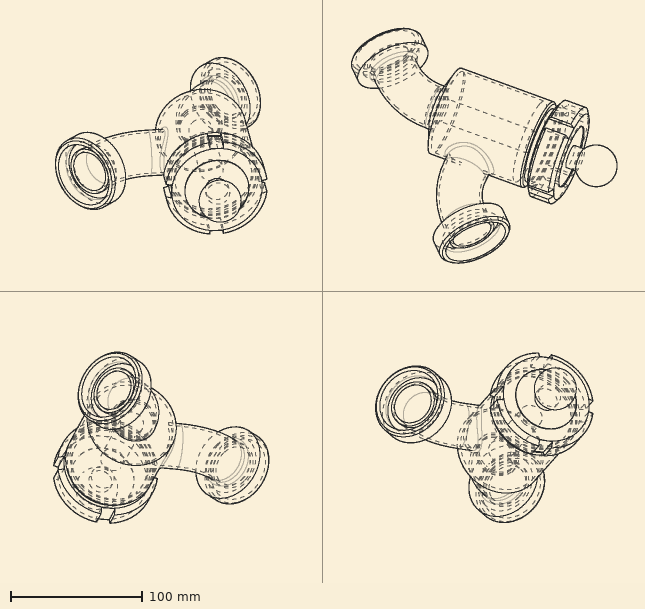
import cadquery as cq
import math

overall_x = 155.1
full_turn = 360

port_end = 91.5
flange_d = 58.0
flange_face_d = 54.7
flange_chamfer = 2.0
flange_rim_end = 14.8
flange_back = 16.5
neck_fillet = 2.2

seat_mouth_d = 48.8
seat_d = 45.7
seat_depth = 7.3
groove_depth = 11.0
lip_d = 36.0

pipe_d = 35.0
bore_d = 31.0
wall = (pipe_d - bore_d) / 2
bend_start = 68.6
bend_radius = 53.5
bend_degrees = 45
bend_angle = math.radians(bend_degrees)
inlet_stub = 9.3

body_d = 69.5
cone_length = 6.5
body_length = 77.8
body_chamfer = 1.5
cavity_length = 69.5
branch_fillet = 2.7
branch_inner_fillet = 4.4

collar_d = 59.3
shoulder_d = 64.8
shoulder_start = 81.5
nut_d = 78.1
nut_start = 82.3
nut_end = 104.0
nut_chamfer_length = 2.7
nut_chamfer_depth = 4.4
notch_width = 10.5
notch_count = 4
cap_d = 49.0
cap_recess = 1.0

shaft_d = 18.0
ball_d = 32.0
plug_top = -1.3
plug_bottom = -11.0

diagonal = math.sqrt(0.5)
bend_end_x = bend_radius * (1 - math.cos(bend_angle))
bend_end_y = bend_start - bend_radius * math.sin(bend_angle)
body_x = bend_end_x + inlet_stub * diagonal
body_y = bend_end_y - inlet_stub * diagonal
branch_straight = 2 * bend_end_y * diagonal
ball_x = overall_x - flange_d / 2 - ball_d / 2
ball_position = (ball_x - body_x) / diagonal


def main_plane(position):
    """Plane across the main axis at a position along it."""
    along = position * diagonal
    return cq.Plane(origin=(body_x + along, body_y - along, 0), xDir=(0, 0, 1), normal=(1, -1, 0))


def main_cylinder(diameter, start, end):
    return cq.Workplane(main_plane(start)).circle(diameter / 2).extrude(end - start)


def revolve_main(points):
    """Revolve an outline of (radius, position) points about the main axis."""
    half_section = cq.Plane(origin=(body_x, body_y, 0), xDir=(0, 0, 1), normal=(1, 1, 0))
    outline = cq.Workplane(half_section).polyline(points).close()
    return outline.revolve(full_turn, (0, 0, 0), (0, 1, 0))


def mirrored(shape):
    """The same shape on the -Y port."""
    return shape.mirror("XZ")


def bent_pipe(diameter, straight):
    """Solid rod from the +Y port's lip through the bend and on by a straight length."""
    start = port_end - seat_depth
    half = bend_angle / 2
    bend_middle = (bend_radius * (1 - math.cos(half)), bend_start - bend_radius * math.sin(half))
    path = (
        cq.Workplane("XY")
        .moveTo(0, start)
        .lineTo(0, bend_start)
        .threePointArc(bend_middle, (bend_end_x, bend_end_y))
        .lineTo(bend_end_x + straight * diagonal, bend_end_y - straight * diagonal)
    )
    return cq.Workplane("XZ", origin=(0, start, 0)).circle(diameter / 2).sweep(path)


def flange():
    """Port flange with a chamfered face, a tapered back and a filleted neck."""
    back = port_end - flange_back
    profile = (
        cq.Workplane("XY")
        .moveTo(0, back - neck_fillet)
        .lineTo(pipe_d / 2, back - neck_fillet)
        .radiusArc((pipe_d / 2 + neck_fillet, back), neck_fillet)
        .lineTo(flange_d / 2, port_end - flange_rim_end)
        .lineTo(flange_d / 2, port_end - flange_chamfer)
        .lineTo(flange_face_d / 2, port_end)
        .lineTo(0, port_end)
        .close()
    )
    return profile.revolve(full_turn, (0, 0, 0), (0, 1, 0))


def flange_recess():
    """Tapered seat and ring groove of a port flange, leaving the lip around the bore."""
    seat = port_end - seat_depth
    groove = port_end - groove_depth
    profile = cq.Workplane("XY").polyline([
        (0, port_end),
        (seat_mouth_d / 2, port_end),
        (seat_d / 2, seat),
        (seat_d / 2, groove),
        (lip_d / 2, groove),
        (lip_d / 2, seat),
        (0, seat),
    ]).close()
    return profile.revolve(full_turn, (0, 0, 0), (0, 1, 0))


def body_with_branch():
    """Body with a coned end, and the branch pipe blended into its side."""
    radius = body_d / 2
    body = revolve_main([
        (0, -cone_length),
        (pipe_d / 2, -cone_length),
        (radius, 0),
        (radius, body_length - body_chamfer),
        (radius - body_chamfer, body_length),
        (0, body_length),
    ])
    joined = body.union(mirrored(bent_pipe(pipe_d, branch_straight)))
    return joined.edges("%BSPLINE").fillet(branch_fillet)


def cavity_with_branch():
    """Space inside the body and branch, with a rounded mouth between the two."""
    radius = body_d / 2 - wall
    cavity = revolve_main([
        (0, wall - cone_length),
        (bore_d / 2, wall - cone_length),
        (radius, wall),
        (radius, cavity_length),
        (0, cavity_length),
    ])
    joined = cavity.union(mirrored(bent_pipe(bore_d, branch_straight)))
    return joined.edges("%BSPLINE").fillet(branch_inner_fillet)


def nut():
    """Union nut, chamfered at both ends, with spanner notches and a recessed cap."""
    radius = nut_d / 2
    face_radius = radius - nut_chamfer_depth
    ring = revolve_main([
        (0, nut_start),
        (face_radius, nut_start),
        (radius, nut_start + nut_chamfer_length),
        (radius, nut_end - nut_chamfer_length),
        (face_radius, nut_end),
        (0, nut_end),
    ])
    notches = (
        cq.Workplane(main_plane(nut_start))
        .polarArray(radius, 0, full_turn, notch_count)
        .rect(2 * nut_chamfer_depth, notch_width)
        .extrude(nut_end - nut_start)
    )
    return ring.cut(notches).cut(main_cylinder(cap_d, nut_end - cap_recess, nut_end))


def handle_and_plug():
    """Ball handle on a shaft that ends in a plug with a 45 degree back, closing the inlet."""
    plug_radius = bore_d / 2
    shaft_radius = shaft_d / 2
    plug = revolve_main([
        (0, plug_bottom),
        (plug_radius, plug_bottom),
        (plug_radius, plug_top - (plug_radius - shaft_radius)),
        (shaft_radius, plug_top),
        (0, plug_top),
    ])
    ball = cq.Workplane(main_plane(ball_position)).sphere(ball_d / 2)
    return plug.union(main_cylinder(shaft_d, plug_top, ball_position)).union(ball)


shell = (
    body_with_branch()
    .union(bent_pipe(pipe_d, inlet_stub))
    .union(flange())
    .union(mirrored(flange()))
    .union(main_cylinder(collar_d, body_length, nut_start))
    .union(main_cylinder(shoulder_d, shoulder_start, nut_start))
    .union(nut())
)
hollow = (
    shell
    .cut(cavity_with_branch())
    .cut(bent_pipe(bore_d, inlet_stub))
    .cut(flange_recess())
    .cut(mirrored(flange_recess()))
)
result = hollow.union(handle_and_plug())